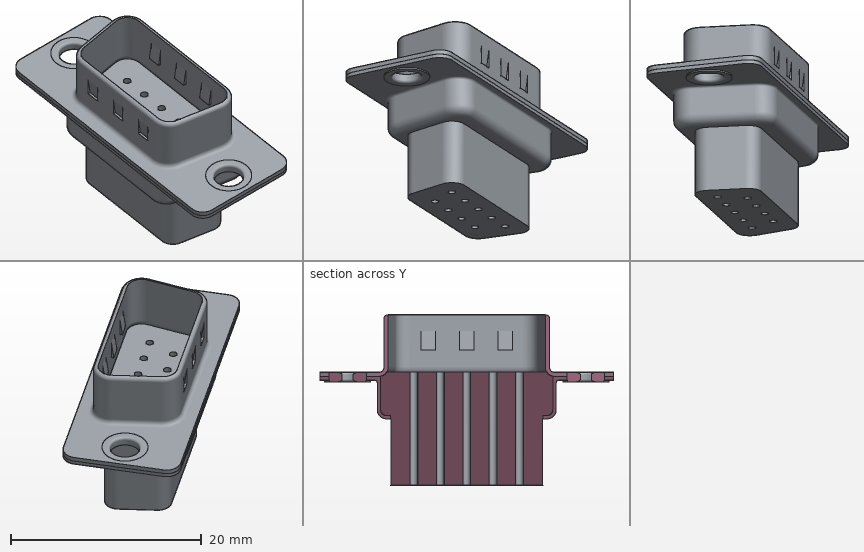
import cadquery as cq
import math


FLANGE_LENGTH = 30.8
FLANGE_WIDTH = 12.6
FLANGE_CORNER_RADIUS = 1.5

SIDE_ANGLE = 10.0

UPPER_SHEET = 0.48
UPPER_HEIGHT = 6.5
UPPER_HALF_LENGTH = 8.87
UPPER_HALF_WIDTH = 4.6
UPPER_CORNER_RADIUS = 2.02
UPPER_FOOT_RADIUS = 0.5
UPPER_RIM_RADIUS = 0.42

LOWER_SHEET = 0.4
LOWER_HEIGHT = 4.45
LOWER_HALF_LENGTH = 9.72
LOWER_HALF_WIDTH = 5.46
LOWER_CORNER_RADIUS = 2.07
LOWER_FOOT_RADIUS = 0.24
LOWER_RIM_RADIUS = 1.0

BLOCK_HALF_LENGTH = 8.05
BLOCK_HALF_WIDTH = 3.51
BLOCK_CORNER_RADIUS = 1.5
BLOCK_BOTTOM_Z = -11.4
INSULATOR_TOP_Z = 0.5

CONTACT_HOLE_DIAMETER = 0.78
CONTACT_PITCH = 2.77
CONTACT_ROW_SPACING = 2.84
WIDE_ROW_COUNT = 5
NARROW_ROW_COUNT = 4

DIMPLE_COUNT = 3
DIMPLE_SPACING = 4.05
DIMPLE_WIDTH = 1.5
DIMPLE_DEPTH = 0.28
DIMPLE_TOP_Z = UPPER_HEIGHT - 1.75
DIMPLE_BOTTOM_Z = UPPER_HEIGHT - 3.7

BUSHING_SPACING = 24.96
BUSHING_X = (-BUSHING_SPACING / 2, BUSHING_SPACING / 2)
BUSHING_DIAMETER = 4.82
BUSHING_BORE = 3.05
BUSHING_MOUTH_RADIUS = 0.28
BUSHING_PROTRUSION = 0.17


def d_prism(half_length, half_width, corner_radius, height):
    """Prism on z = 0 with a rounded D outline; half_length reaches the round wide corners."""
    lean = math.radians(SIDE_ANGLE)
    wide_center_x = half_length - corner_radius
    tangent_x = wide_center_x + corner_radius * math.cos(lean)
    tangent_y = half_width - corner_radius - corner_radius * math.sin(lean)
    wide_x = tangent_x + (half_width - tangent_y) * math.tan(lean)
    narrow_x = tangent_x - (half_width + tangent_y) * math.tan(lean)
    corners = [
        (-wide_x, half_width),
        (wide_x, half_width),
        (narrow_x, -half_width),
        (-narrow_x, -half_width),
    ]
    return (
        cq.Workplane("XY")
        .polyline(corners)
        .close()
        .extrude(height)
        .edges("|Z")
        .fillet(corner_radius)
    )


def flared_onto(plate, plate_top_z, prism, reach, flare_radius):
    """Join a prism to a plate and round the inner corner where they meet.

    reach is the half size of a box that holds the prism's foot but not the plate's rim.
    """
    reach_x, reach_y = reach
    tolerance = 0.01
    foot_edges = cq.selectors.BoxSelector(
        (-reach_x, -reach_y, plate_top_z - tolerance),
        (reach_x, reach_y, plate_top_z + tolerance),
        boundingbox=True,
    )
    return plate.union(prism).edges(foot_edges).fillet(flare_radius)


def flange_plate(thickness):
    return (
        cq.Workplane("XY")
        .rect(FLANGE_LENGTH, FLANGE_WIDTH)
        .extrude(thickness)
        .edges("|Z")
        .fillet(FLANGE_CORNER_RADIUS)
    )


def formed_shell(half_length, half_width, corner_radius, height, sheet, foot_radius, rim_radius):
    """Solid flange with a raised D boss, before it is hollowed out."""
    boss = d_prism(half_length, half_width, corner_radius, height).faces(">Z").edges().fillet(rim_radius)
    reach = (half_length + foot_radius, half_width + foot_radius)
    shell = flared_onto(flange_plate(sheet), sheet, boss, reach, foot_radius)
    bushing_holes = (
        cq.Workplane("XY")
        .pushPoints([(x, 0) for x in BUSHING_X])
        .circle(BUSHING_DIAMETER / 2)
        .extrude(sheet)
    )
    return shell.cut(bushing_holes)


def upper_cavity():
    """Space inside the upper shell, flaring at the bottom parallel to the outer bend."""
    half_length = UPPER_HALF_LENGTH - UPPER_SHEET
    half_width = UPPER_HALF_WIDTH - UPPER_SHEET
    prism = d_prism(half_length, half_width, UPPER_CORNER_RADIUS - UPPER_SHEET, UPPER_HEIGHT)
    below = flange_plate(UPPER_SHEET).translate((0, 0, -UPPER_SHEET))
    flared = flared_onto(
        below, 0, prism, (UPPER_HALF_LENGTH, UPPER_HALF_WIDTH), UPPER_SHEET + UPPER_FOOT_RADIUS
    )
    return flared.cut(below)


def lower_cavity():
    """Space inside the lower shell, drawn upside down (rising from z = 0)."""
    return (
        d_prism(
            LOWER_HALF_LENGTH - LOWER_SHEET,
            LOWER_HALF_WIDTH - LOWER_SHEET,
            LOWER_CORNER_RADIUS - LOWER_SHEET,
            LOWER_HEIGHT - LOWER_SHEET,
        )
        .faces(">Z")
        .edges()
        .fillet(LOWER_RIM_RADIUS - LOWER_SHEET)
    )


def insulator_block():
    block = d_prism(BLOCK_HALF_LENGTH, BLOCK_HALF_WIDTH, BLOCK_CORNER_RADIUS, -BLOCK_BOTTOM_Z)
    return block.translate((0, 0, BLOCK_BOTTOM_Z))


def dimple_wedges(wall_y):
    """Wedges on the inner side of y = +/-wall_y, deepest at their lower edge."""
    wedges = cq.Workplane("XY")
    for side in (-1, 1):
        for index in range(DIMPLE_COUNT):
            x = (index - (DIMPLE_COUNT - 1) / 2) * DIMPLE_SPACING
            wedge = (
                cq.Workplane("YZ", origin=(x, 0, 0))
                .moveTo(side * wall_y, DIMPLE_TOP_Z)
                .lineTo(side * wall_y, DIMPLE_BOTTOM_Z)
                .lineTo(side * (wall_y - DIMPLE_DEPTH), DIMPLE_BOTTOM_Z)
                .close()
                .extrude(DIMPLE_WIDTH / 2, both=True)
            )
            wedges = wedges.add(wedge)
    return wedges.combine()


def contact_holes():
    rows = ((WIDE_ROW_COUNT, CONTACT_ROW_SPACING / 2), (NARROW_ROW_COUNT, -CONTACT_ROW_SPACING / 2))
    points = []
    for count, y in rows:
        for index in range(count):
            points.append(((index - (count - 1) / 2) * CONTACT_PITCH, y))
    return (
        cq.Workplane("XY", origin=(0, 0, BLOCK_BOTTOM_Z))
        .pushPoints(points)
        .circle(CONTACT_HOLE_DIAMETER / 2)
        .extrude(INSULATOR_TOP_Z - BLOCK_BOTTOM_Z)
    )


def make_upper_shell():
    shell = formed_shell(
        UPPER_HALF_LENGTH, UPPER_HALF_WIDTH, UPPER_CORNER_RADIUS,
        UPPER_HEIGHT, UPPER_SHEET, UPPER_FOOT_RADIUS, UPPER_RIM_RADIUS,
    )
    shell = shell.cut(upper_cavity())
    shell = shell.union(dimple_wedges(UPPER_HALF_WIDTH - UPPER_SHEET))
    return shell.cut(dimple_wedges(UPPER_HALF_WIDTH))


def make_lower_shell():
    shell = formed_shell(
        LOWER_HALF_LENGTH, LOWER_HALF_WIDTH, LOWER_CORNER_RADIUS,
        LOWER_HEIGHT, LOWER_SHEET, LOWER_FOOT_RADIUS, LOWER_RIM_RADIUS,
    )
    return shell.cut(lower_cavity()).mirror("XY").cut(insulator_block())


def make_insulator():
    """Block that fills the lower shell and closes the bottom of the upper shell."""
    floor = upper_cavity().intersect(flange_plate(INSULATOR_TOP_Z))
    insulator = insulator_block().union(lower_cavity().mirror("XY")).union(floor)
    return insulator.cut(contact_holes())


def make_bushings():
    bottom_z = -LOWER_SHEET - BUSHING_PROTRUSION
    height = UPPER_SHEET - bottom_z
    bushing = (
        cq.Workplane("XY", origin=(0, 0, bottom_z))
        .circle(BUSHING_DIAMETER / 2)
        .circle(BUSHING_BORE / 2)
        .extrude(height)
        .faces("<Z or >Z")
        .edges(cq.selectors.RadiusNthSelector(0))
        .fillet(BUSHING_MOUTH_RADIUS)
    )
    return [bushing.translate((x, 0, 0)) for x in BUSHING_X]


upper_shell = make_upper_shell()
lower_shell = make_lower_shell()
insulator = make_insulator()
bushings = make_bushings()

result = cq.Compound.makeCompound(
    [upper_shell.val(), lower_shell.val(), insulator.val(), *[bushing.val() for bushing in bushings]]
)